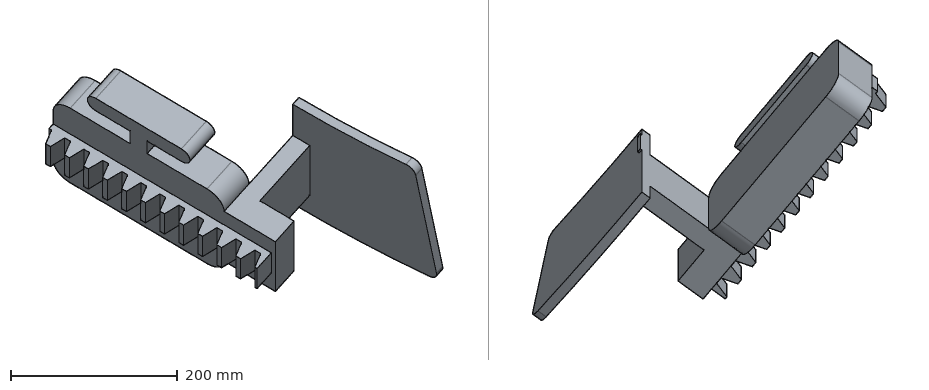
import cadquery as cq
import math


BLOCK_LENGTH = 254.0
GRID = BLOCK_LENGTH / 10

BLOCK_HEIGHT = 6 * GRID
BLOCK_DEPTH = 2 * GRID
BLOCK_CORNER_RADIUS = GRID

GRIP_LENGTH = 6 * GRID
GRIP_HEIGHT = GRID
NECK_WIDTH = GRID
NECK_HEIGHT = GRID
NECK_DEPTH = BLOCK_DEPTH / 2

ARM_HEIGHT = 4 * GRID
FOOT_LENGTH = 3 * GRID
FOOT_DEPTH = 1.5 * GRID
WEB_THICKNESS = GRID

PLATE_BACK = 6 * GRID
PLATE_THICKNESS = GRID / 2
PLATE_TOP = 4.5 * GRID
PLATE_HEIGHT = 8 * GRID
PLATE_SWEEP = math.radians(10)
PLATE_INNER_RADIUS = 1039.5
PLATE_CORNER_RADIUS = GRID / 2

STRIP_WIDTH = 5.0
STRIP_HEIGHT = 49.0
STRIP_TOP = 96.5
STRIP_THICKNESS = 2.5

RACK_LENGTH = 324.0
RACK_HEIGHT = 41.0
RACK_CENTER_Z = 3.0
RACK_DEPTH = 29.0
RACK_BASE_DEPTH = 8.5
WHOLE_TOOTH_COUNT = 11
FIRST_TOOTH_CENTER = 13.5
LAST_WHOLE_TOOTH_CENTER = 296.0
TOOTH_PITCH = (LAST_WHOLE_TOOTH_CENTER - FIRST_TOOTH_CENTER) / (WHOLE_TOOTH_COUNT - 1)
TOOTH_ROOT_WIDTH = 19.5
TOOTH_TIP_WIDTH = 7.0


def box(x, y, z):
    """Box spanning the given (low, high) pairs along X, Y and Z."""
    return cq.Workplane("XY").box(x[1] - x[0], y[1] - y[0], z[1] - z[0], centered=False).translate(
        (x[0], y[0], z[0])
    )


def make_block():
    block = box((0, BLOCK_LENGTH), (0, BLOCK_DEPTH), (-BLOCK_HEIGHT / 2, BLOCK_HEIGHT / 2))
    return block.edges("|Y").fillet(BLOCK_CORNER_RADIUS)


def make_grip():
    center_x = BLOCK_LENGTH / 2
    neck_bottom = BLOCK_HEIGHT / 2
    bar_bottom = neck_bottom + NECK_HEIGHT
    neck = box(
        (center_x - NECK_WIDTH / 2, center_x + NECK_WIDTH / 2),
        (0, NECK_DEPTH),
        (neck_bottom, bar_bottom),
    )
    bar = (
        cq.Workplane("XZ")
        .center(center_x, bar_bottom + GRIP_HEIGHT / 2)
        .slot2D(GRIP_LENGTH, GRIP_HEIGHT)
        .extrude(-BLOCK_DEPTH)
    )
    return neck.union(bar)


def make_arm():
    left = BLOCK_LENGTH
    height_span = (-ARM_HEIGHT / 2, ARM_HEIGHT / 2)
    foot = box((left, left + FOOT_LENGTH), (0, FOOT_DEPTH), height_span)
    web = box((left, left + WEB_THICKNESS), (0, PLATE_BACK - PLATE_THICKNESS), height_span)
    return foot.union(web)


def make_plate():
    center_z = PLATE_TOP + PLATE_INNER_RADIUS
    outer_radius = PLATE_INNER_RADIUS + PLATE_HEIGHT

    def arc_point(radius, angle):
        return (BLOCK_LENGTH + radius * math.sin(angle), center_z - radius * math.cos(angle))

    plate = (
        cq.Workplane("XZ", origin=(0, PLATE_BACK, 0))
        .moveTo(*arc_point(PLATE_INNER_RADIUS, 0))
        .threePointArc(
            arc_point(PLATE_INNER_RADIUS, PLATE_SWEEP / 2), arc_point(PLATE_INNER_RADIUS, PLATE_SWEEP)
        )
        .lineTo(*arc_point(outer_radius, PLATE_SWEEP))
        .threePointArc(arc_point(outer_radius, PLATE_SWEEP / 2), arc_point(outer_radius, 0))
        .close()
        .extrude(PLATE_THICKNESS)
    )
    return plate.edges("|Y and (not <X)").fillet(PLATE_CORNER_RADIUS)


def make_edge_strip():
    return box(
        (BLOCK_LENGTH, BLOCK_LENGTH + STRIP_WIDTH),
        (PLATE_BACK, PLATE_BACK + STRIP_THICKNESS),
        (STRIP_TOP - STRIP_HEIGHT, STRIP_TOP),
    )


def make_carrier():
    """Block, grip, arm and plate in one piece."""
    return make_block().union(make_grip()).union(make_arm()).union(make_plate()).union(make_edge_strip())


def make_rack():
    """Toothed bar on the front face, its last tooth cut off by the bar's end."""
    z_span = (RACK_CENTER_Z - RACK_HEIGHT / 2, RACK_CENTER_Z + RACK_HEIGHT / 2)
    rack = box((0, RACK_LENGTH), (-RACK_BASE_DEPTH, 0), z_span)
    envelope = box((0, RACK_LENGTH), (-RACK_DEPTH, 0), z_span)
    for index in range(WHOLE_TOOTH_COUNT + 1):
        center_x = FIRST_TOOTH_CENTER + index * TOOTH_PITCH
        tooth = (
            cq.Workplane("XY", origin=(center_x, 0, z_span[0]))
            .polyline(
                [
                    (-TOOTH_ROOT_WIDTH / 2, -RACK_BASE_DEPTH),
                    (-TOOTH_TIP_WIDTH / 2, -RACK_DEPTH),
                    (TOOTH_TIP_WIDTH / 2, -RACK_DEPTH),
                    (TOOTH_ROOT_WIDTH / 2, -RACK_BASE_DEPTH),
                ]
            )
            .close()
            .extrude(RACK_HEIGHT)
        )
        rack = rack.union(tooth)
    return rack.intersect(envelope)


carrier = make_carrier()
rack = make_rack()

result = cq.Compound.makeCompound([carrier.val(), rack.val()])